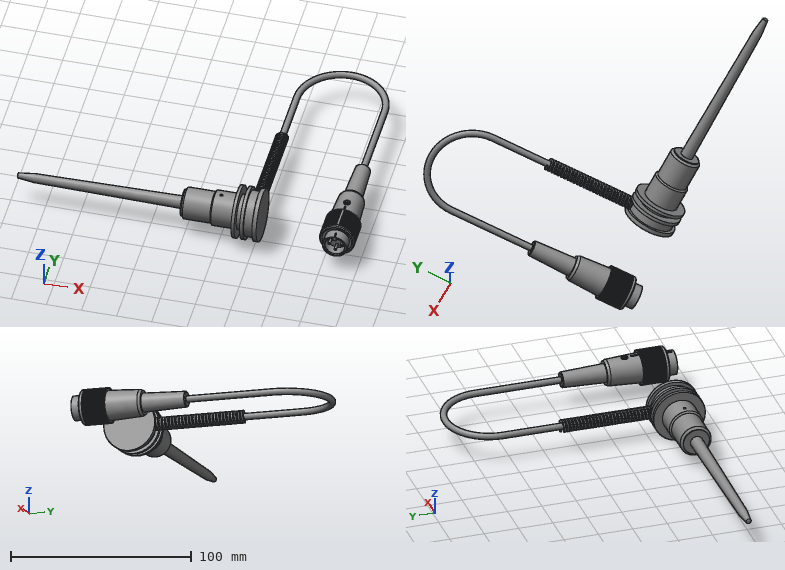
import cadquery as cq
import math


TIP_D = 3.0
TIP_DOME = 0.5
CONE_L = 10.0
CONE_D = 5.2
COLLAR_X = 92.3
COLLAR_D = 7.2
NEEDLE_SEAT = 8.0

HOUSING_X0 = 94.6
NOSE_FACE_D = 15.2
NOSE_FACE_L = 0.6
NOSE_CHAMFER_L = 1.1
NOSE_D = 18.0
BARREL_X = 111.9
BARREL_D = 20.0
BARREL_CHAMFER_L = 0.8
FLANGE_D = 30.0
FRONT_DISC_X = (125.4, 127.2)
MIDDLE_DISC_X = (130.3, 132.2)
REAR_DISC_X = (137.3, 139.8)
GROOVE_D = 26.2
SPRING_SEAT_D = 7.4
DOT_D = 1.5
DOT_X = 116.3
DOT_DEPTH = 1.0

CABLE_D = 3.7
CABLE_X = 134.69
LEG_SPACING = 50.0
BEND_R = LEG_SPACING / 2
BEND_Y = 100.0
CABLE_START_Y = 5.0
CABLE_SEAT = 10.0

WIRE_W = 1.0
WIRE_DEPTH = 1.5
SPRING_D = 7.2
SPRING_PITCH = 2.0
SPRING_TURNS = 26.25
SPRING_START_Y = GROOVE_D / 2 + WIRE_W / 2

OVERALL_Y = 142.64
PLUG_Y = BEND_Y + BEND_R + CABLE_D / 2 - OVERALL_Y
CONNECTOR_X = CABLE_X + LEG_SPACING
PLUG_D = 13.9
PLUG_BORE_D = 11.2
PLUG_BORE_DEPTH = 6.0
PLUG_BORE_CHAMFER = 0.5
BODY_FRONT = 6.2
BODY_D = 17.1
RING_BACK = 20.5
SHOULDER = 39.0
SHOULDER_D = 15.1
SHOULDER_CHAMFER_L = 1.6
NECK_STEP_D = 13.6
SLEEVE_FRONT_D = 10.8
SLEEVE_BACK_D = 8.92
SLEEVE_BACK = 65.9
SLEEVE_CHAMFER = 0.5

PIN_D = 1.5
PIN_L = 4.5
PIN_CHAMFER = 0.25
PIN_CIRCLE_D = 7.0
PIN_ANGLES = (0, 180, 270)
SMALL_HOLE_D = 1.0
SMALL_HOLE_Z = 2.9
SMALL_HOLE_DEPTH = 1.0
KEY_W = 1.9
KEY_INNER_R = 4.4

MARK_W = 0.7
MARK_DEPTH = 0.3
BODY_MARK_L = 4.6
PLUG_MARK_START = 1.2
PLUG_MARK_END = 3.7
SCREW_Y = 28.8
SCREW_D = 3.7
SCREW_FLAT_Z = 7.6
SCREW_SLOT_L = 2.46
SCREW_SLOT_W = 0.6
SCREW_SLOT_DEPTH = 0.6

RING_FRONT = 5.2
RING_D = 20.0
RING_CHAMFER = 0.6
KNURL_FRONT = 7.2
KNURL_COUNT = 60
KNURL_DEPTH = 0.4
KNURL_CREST_W = 0.35


def along_y(x, y):
    """Workplane at (x, y, 0) whose normal is +Y, with local x along X and local y along -Z."""
    return cq.Workplane(cq.Plane(origin=(x, y, 0), xDir=(1, 0, 0), normal=(0, 1, 0)))


def turned_about_x(profile):
    """Solid of revolution about X from (x, radius) points."""
    return cq.Workplane("XY").polyline(profile).close().revolve(360, (0, 0, 0), (1, 0, 0))


def turned_connector_part(profile):
    """Solid of revolution about the connector axis from (radius, distance from plug end) points."""
    plane = cq.Plane(origin=(CONNECTOR_X, PLUG_Y, 0))
    return cq.Workplane(plane).polyline(profile).close().revolve(360, (0, 0, 0), (0, 1, 0))


def polar(radius, angle):
    """Point at a radius and an angle in radians."""
    return (radius * math.cos(angle), radius * math.sin(angle))


def make_needle():
    """Tapered needle with a domed tip and a collar that plugs into the housing."""
    end_x = HOUSING_X0 + NEEDLE_SEAT
    dome_r = ((TIP_D / 2) ** 2 + TIP_DOME**2) / (2 * TIP_DOME)
    half_angle = math.asin(TIP_D / 2 / dome_r) / 2
    dome_point = (dome_r * (1 - math.cos(half_angle)), dome_r * math.sin(half_angle))
    profile = (
        cq.Workplane("XY")
        .threePointArc(dome_point, (TIP_DOME, TIP_D / 2))
        .lineTo(CONE_L, CONE_D / 2)
        .lineTo(COLLAR_X, COLLAR_D / 2)
        .lineTo(end_x, COLLAR_D / 2)
        .lineTo(end_x, 0)
        .close()
    )
    return profile.revolve(360, (0, 0, 0), (1, 0, 0))


def make_housing():
    """Turned housing with three discs, bored for the needle and the cable."""
    profile = [
        (HOUSING_X0, 0),
        (HOUSING_X0, NOSE_FACE_D / 2),
        (HOUSING_X0 + NOSE_FACE_L, NOSE_FACE_D / 2),
        (HOUSING_X0 + NOSE_FACE_L + NOSE_CHAMFER_L, NOSE_D / 2),
        (BARREL_X, NOSE_D / 2),
        (BARREL_X + BARREL_CHAMFER_L, BARREL_D / 2),
    ]
    disc_gaps = ((FRONT_DISC_X, BARREL_D), (MIDDLE_DISC_X, GROOVE_D), (REAR_DISC_X, 0))
    previous_d = BARREL_D
    for (front, back), next_d in disc_gaps:
        profile += [
            (front, previous_d / 2),
            (front, FLANGE_D / 2),
            (back, FLANGE_D / 2),
            (back, next_d / 2),
        ]
        previous_d = next_d
    housing = turned_about_x(profile)

    needle_hole = cq.Workplane("YZ", origin=(HOUSING_X0, 0, 0)).circle(COLLAR_D / 2).extrude(NEEDLE_SEAT)
    cable_hole = along_y(CABLE_X, CABLE_START_Y).circle(CABLE_D / 2).extrude(FLANGE_D)
    spring_seat = along_y(CABLE_X, GROOVE_D / 2).circle(SPRING_SEAT_D / 2).extrude(FLANGE_D)
    dot = (
        cq.Workplane("XY", origin=(DOT_X, 0, BARREL_D / 2 - DOT_DEPTH))
        .circle(DOT_D / 2)
        .extrude(BARREL_D)
    )
    return housing.cut(needle_hole).cut(cable_hole).cut(spring_seat).cut(dot)


def make_cable():
    """Round cable with two straight legs joined by a half-circle bend."""
    end_y = PLUG_Y + SLEEVE_BACK - CABLE_SEAT
    path = (
        cq.Workplane("XY")
        .moveTo(CABLE_X, CABLE_START_Y)
        .lineTo(CABLE_X, BEND_Y)
        .threePointArc((CABLE_X + BEND_R, BEND_Y + BEND_R), (CONNECTOR_X, BEND_Y))
        .lineTo(CONNECTOR_X, end_y)
    )
    return along_y(CABLE_X, CABLE_START_Y).circle(CABLE_D / 2).sweep(path)


def make_spring():
    """Flat-wire coil around the cable, standing on its seat in the housing."""
    coil_r = (SPRING_D - WIRE_DEPTH) / 2
    path = cq.Wire.makeHelix(SPRING_PITCH, SPRING_PITCH * SPRING_TURNS, coil_r)
    wire = cq.Workplane("XZ", origin=(coil_r, 0, 0)).rect(WIRE_DEPTH, WIRE_W).sweep(path, isFrenet=True)
    return wire.rotate((0, 0, 0), (1, 0, 0), -90).translate((CABLE_X, SPRING_START_Y, 0))


def top_mark(start, end, surface_d):
    """Engraved line along the top of the connector."""
    return (
        along_y(CONNECTOR_X, PLUG_Y + start)
        .center(0, -surface_d / 2)
        .rect(MARK_W, 2 * MARK_DEPTH)
        .extrude(end - start)
    )


def screw_recess():
    """Flat round screw face sunk in the top of the connector body, with its cross slot."""
    seat = cq.Workplane("XY", origin=(CONNECTOR_X, PLUG_Y + SCREW_Y, SCREW_FLAT_Z))
    recess = seat.circle(SCREW_D / 2).extrude(BODY_D)
    for slot_x, slot_y in ((SCREW_SLOT_L, SCREW_SLOT_W), (SCREW_SLOT_W, SCREW_SLOT_L)):
        recess = recess.union(seat.rect(slot_x, slot_y).extrude(-SCREW_SLOT_DEPTH))
    return recess


def make_connector():
    """Connector body with its hollow plug, shoulder and tapered cable sleeve."""
    profile = [
        (0, PLUG_BORE_DEPTH),
        (PLUG_BORE_D / 2, PLUG_BORE_DEPTH),
        (PLUG_BORE_D / 2, PLUG_BORE_CHAMFER),
        (PLUG_BORE_D / 2 + PLUG_BORE_CHAMFER, 0),
        (PLUG_D / 2, 0),
        (PLUG_D / 2, BODY_FRONT),
        (BODY_D / 2, BODY_FRONT),
        (BODY_D / 2, RING_BACK),
        (SHOULDER_D / 2, SHOULDER),
        (NECK_STEP_D / 2, SHOULDER + SHOULDER_CHAMFER_L),
        (SLEEVE_FRONT_D / 2, SHOULDER + SHOULDER_CHAMFER_L),
        (SLEEVE_BACK_D / 2, SLEEVE_BACK - SLEEVE_CHAMFER),
        (SLEEVE_BACK_D / 2 - SLEEVE_CHAMFER, SLEEVE_BACK),
        (0, SLEEVE_BACK),
    ]
    connector = turned_connector_part(profile)

    floor = along_y(CONNECTOR_X, PLUG_Y + PLUG_BORE_DEPTH)
    for angle in PIN_ANGLES:
        pin_x = PIN_CIRCLE_D / 2 * math.cos(math.radians(angle))
        pin_z = PIN_CIRCLE_D / 2 * math.sin(math.radians(angle))
        pin = floor.center(pin_x, -pin_z).circle(PIN_D / 2).extrude(-PIN_L)
        connector = connector.union(pin.faces("<Y").chamfer(PIN_CHAMFER))
    key_outer_r = PLUG_BORE_D / 2 + PLUG_BORE_CHAMFER
    key_h = key_outer_r - KEY_INNER_R
    key = floor.center(0, -KEY_INNER_R - key_h / 2).rect(KEY_W, key_h).extrude(-PLUG_BORE_DEPTH)
    connector = connector.union(key)

    small_hole = floor.center(0, -SMALL_HOLE_Z).circle(SMALL_HOLE_D / 2).extrude(SMALL_HOLE_DEPTH)
    cable_hole = along_y(CONNECTOR_X, PLUG_Y + SLEEVE_BACK).circle(CABLE_D / 2).extrude(-CABLE_SEAT)
    connector = connector.cut(small_hole).cut(cable_hole)
    plug_mark = top_mark(PLUG_MARK_START, PLUG_MARK_END, PLUG_D)
    body_mark = top_mark(RING_BACK, RING_BACK + BODY_MARK_L, BODY_D - 2 * MARK_DEPTH)
    return connector.cut(plug_mark).cut(body_mark).cut(screw_recess())


def make_coupling_ring():
    """Knurled ring around the connector body with a plain front rim."""
    rim = (
        along_y(CONNECTOR_X, PLUG_Y + RING_FRONT)
        .circle(RING_D / 2)
        .extrude(KNURL_FRONT - RING_FRONT)
        .faces("<Y")
        .chamfer(RING_CHAMFER)
    )
    step = 2 * math.pi / KNURL_COUNT
    half_crest = KNURL_CREST_W / RING_D
    top = -math.pi / 2
    stripe_edge = step / 2 + half_crest
    outline = [polar(RING_D / 2, top - stripe_edge), polar(RING_D / 2, top + stripe_edge)]
    for groove in range(1, KNURL_COUNT):
        angle = top + groove * step
        outline.append(polar(RING_D / 2 - KNURL_DEPTH, angle))
        if groove < KNURL_COUNT - 1:
            outline.append(polar(RING_D / 2, angle + step / 2 - half_crest))
            outline.append(polar(RING_D / 2, angle + step / 2 + half_crest))
    knurl = (
        along_y(CONNECTOR_X, PLUG_Y + KNURL_FRONT)
        .polyline(outline)
        .close()
        .extrude(RING_BACK - KNURL_FRONT)
    )
    bore = along_y(CONNECTOR_X, PLUG_Y + RING_FRONT).circle(BODY_D / 2).extrude(RING_BACK)
    return rim.union(knurl).cut(bore)


needle = make_needle()
housing = make_housing()
cable = make_cable()
spring = make_spring()
connector = make_connector()
coupling_ring = make_coupling_ring()

bodies = (needle, housing, cable, spring, connector, coupling_ring)
result = cq.Compound.makeCompound([body.val() for body in bodies])